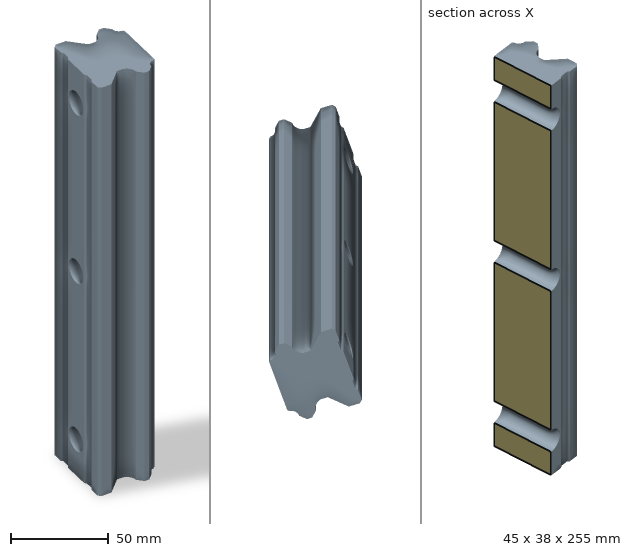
import cadquery as cq
import math

RAIL_WIDTH = 45.0
RAIL_HEIGHT = 38.0
RAIL_LENGTH = 255.0
HALF_WIDTH = RAIL_WIDTH / 2

BASE_CHAMFER = 1.5
PAD_HALF_WIDTH = 8.0
CHANNEL_DEPTH = 1.0
CHANNEL_INNER_HALF = 9.4
CHANNEL_OUTER_HALF = 14.2
LEDGE_HALF_WIDTH = 15.0

FOOT_HEIGHT = 7.5
WAIST_HALF_WIDTH = 14.0
WAIST_TOP = 19.6
WAIST_BOTTOM = FOOT_HEIGHT + HALF_WIDTH - WAIST_HALF_WIDTH

NOSE_CENTRE = 28.7
NOSE_FLAT = 2.8
NOSE_BEVEL = 3.2
NOSE_ROOT_HALF = HALF_WIDTH - NOSE_BEVEL
NOSE_TOP = NOSE_CENTRE + NOSE_FLAT / 2
NOSE_BOTTOM = NOSE_CENTRE - NOSE_FLAT / 2

HEAD_HALF_WIDTH = 14.5
HEAD_CHAMFER = 0.8
UPPER_GROOVE_RADIUS = 4.0
LOWER_GROOVE_RADIUS = 5.6

HOLE_DIAMETER = 14.0
HOLE_PITCH = 105.0
HOLE_COUNT = 3


def concave_midpoint(start, end, radius):
    """Middle of the arc from start to end, bowed to the left of travel (into the rail)."""
    run_x = end[0] - start[0]
    run_y = end[1] - start[1]
    chord = math.hypot(run_x, run_y)
    bulge = radius - math.sqrt(radius**2 - (chord / 2) ** 2)
    middle_x = (start[0] + end[0]) / 2 - bulge * run_y / chord
    middle_y = (start[1] + end[1]) / 2 + bulge * run_x / chord
    return (middle_x, middle_y)


def half_profile():
    """Right half of the rail section, closed along the centre plane."""
    lower_groove_start = (WAIST_HALF_WIDTH, WAIST_TOP)
    lower_groove_end = (NOSE_ROOT_HALF, NOSE_BOTTOM - NOSE_BEVEL)
    upper_groove_start = (NOSE_ROOT_HALF, NOSE_TOP + NOSE_BEVEL)
    upper_groove_end = (HEAD_HALF_WIDTH + HEAD_CHAMFER, RAIL_HEIGHT - HEAD_CHAMFER)
    return (
        cq.Workplane("XY")
        .moveTo(0, 0)
        .lineTo(PAD_HALF_WIDTH, 0)
        .lineTo(CHANNEL_INNER_HALF, CHANNEL_DEPTH)
        .lineTo(CHANNEL_OUTER_HALF, CHANNEL_DEPTH)
        .lineTo(LEDGE_HALF_WIDTH, 0)
        .lineTo(HALF_WIDTH - BASE_CHAMFER, 0)
        .lineTo(HALF_WIDTH, BASE_CHAMFER)
        .lineTo(HALF_WIDTH, FOOT_HEIGHT)
        .lineTo(WAIST_HALF_WIDTH, WAIST_BOTTOM)
        .lineTo(*lower_groove_start)
        .threePointArc(
            concave_midpoint(lower_groove_start, lower_groove_end, LOWER_GROOVE_RADIUS),
            lower_groove_end,
        )
        .lineTo(HALF_WIDTH, NOSE_BOTTOM)
        .lineTo(HALF_WIDTH, NOSE_TOP)
        .lineTo(*upper_groove_start)
        .threePointArc(
            concave_midpoint(upper_groove_start, upper_groove_end, UPPER_GROOVE_RADIUS),
            upper_groove_end,
        )
        .lineTo(HEAD_HALF_WIDTH, RAIL_HEIGHT)
        .lineTo(0, RAIL_HEIGHT)
        .close()
    )


def rail_bar():
    right_half = half_profile().extrude(RAIL_LENGTH)
    return right_half.union(right_half.mirror("YZ")).clean()


def mounting_holes():
    """Cylinders through the full height of the rail, evenly spaced about mid length."""
    first_hole = (RAIL_LENGTH - (HOLE_COUNT - 1) * HOLE_PITCH) / 2
    holes = cq.Workplane("XZ")
    holes = holes.pushPoints([(0, first_hole + i * HOLE_PITCH) for i in range(HOLE_COUNT)])
    return holes.circle(HOLE_DIAMETER / 2).extrude(-RAIL_HEIGHT)


result = rail_bar().cut(mounting_holes())